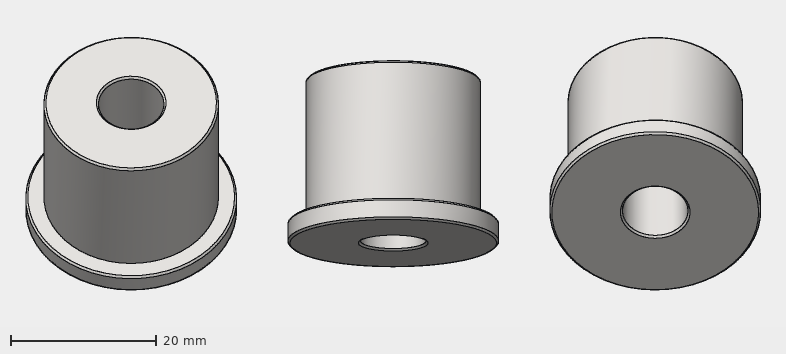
import cadquery as cq

flange_diameter = 29.0
flange_thickness = 3.0
body_diameter = 24.0
total_height = 23.0
bore_diameter = 9.0
edge_chamfer = 0.3


def chamfered_cylinder(diameter, height, chamfered_edges):
    """Cylinder standing on the XY plane with the chosen rims chamfered."""
    cylinder = cq.Workplane("XY").circle(diameter / 2).extrude(height)
    return cylinder.edges(chamfered_edges).chamfer(edge_chamfer)


flange = chamfered_cylinder(flange_diameter, flange_thickness, "%CIRCLE")
body = chamfered_cylinder(body_diameter, total_height, ">Z")
bushing = flange.union(body)

bore = cq.Workplane("XY").circle(bore_diameter / 2).extrude(total_height)
mouth_diameter = bore_diameter + 2 * edge_chamfer
mouth = cq.Solid.makeCone(mouth_diameter / 2, bore_diameter / 2, edge_chamfer)
bottom_mouth = cq.Workplane("XY").add(mouth)
top_mouth = bottom_mouth.mirror("XY").translate((0, 0, total_height))

result = bushing.cut(bore).cut(bottom_mouth).cut(top_mouth)